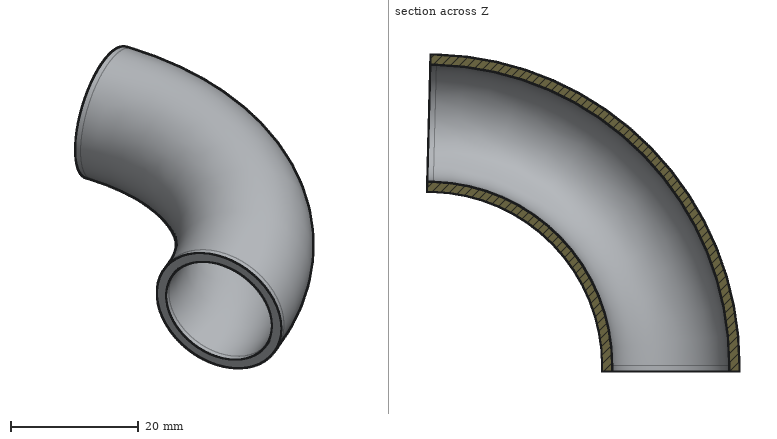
import cadquery as cq
import math

outer_diameter = 21.7
bore_diameter = 18.4
bend_radius = 38.1
bend_angle = 88.5
end_length = 0.98

bend_end_angle = math.radians(bend_angle)
half_bend_angle = bend_end_angle / 2


def point_on_bend(angle):
    """Point of the centreline arc at an angle from the +X axis."""
    return (bend_radius * math.cos(angle), bend_radius * math.sin(angle))


bend_start = point_on_bend(0)
bend_middle = point_on_bend(half_bend_angle)
bend_end = point_on_bend(bend_end_angle)
pipe_start = (bend_radius, -end_length)
pipe_end = (
    bend_end[0] - end_length * math.sin(bend_end_angle),
    bend_end[1] + end_length * math.cos(bend_end_angle),
)

centreline = (
    cq.Workplane("XY")
    .moveTo(*pipe_start)
    .lineTo(*bend_start)
    .threePointArc(bend_middle, bend_end)
    .lineTo(*pipe_end)
)

result = (
    cq.Workplane("XZ", origin=(*pipe_start, 0))
    .circle(outer_diameter / 2)
    .circle(bore_diameter / 2)
    .sweep(centreline)
)